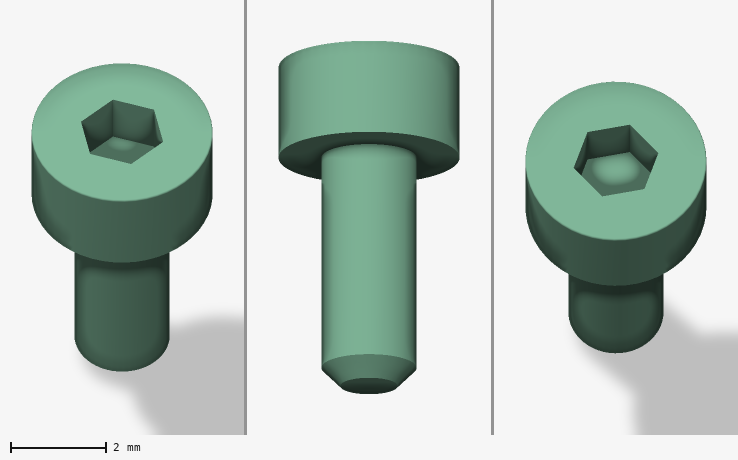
import cadquery as cq
import math

total_length = 7.0
head_height = 2.0
head_diameter = 3.8
head_edge_radius = 0.035
shank_diameter = 2.0
tip_chamfer = 0.4
socket_across_flats = 1.57
socket_depth = 1.2

shank_length = total_length - head_height
socket_across_corners = socket_across_flats / math.cos(math.radians(30))


def make_head():
    """Cylindrical head with a slightly rounded top rim."""
    head = cq.Workplane("XY").circle(head_diameter / 2).extrude(head_height)
    return head.faces(">Z").edges().fillet(head_edge_radius)


def make_shank():
    """Plain shank below the head, chamfered at its tip."""
    shank = cq.Workplane("XY").circle(shank_diameter / 2).extrude(-shank_length)
    return shank.faces("<Z").edges().chamfer(tip_chamfer)


def make_socket():
    """Hexagonal drive socket with two corners on the X axis."""
    top = cq.Workplane("XY").workplane(offset=head_height)
    return top.polygon(6, socket_across_corners).extrude(-socket_depth)


result = make_head().union(make_shank()).cut(make_socket())